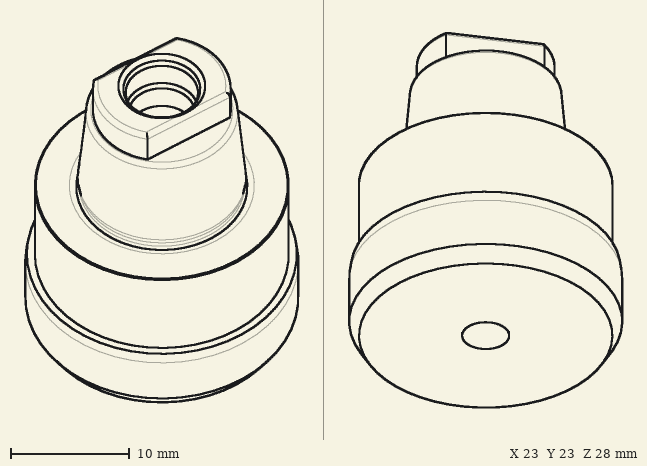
import cadquery as cq
import math

height = 27.95
base_chamfer_top = 1.43
collar_taper_start = 5.9
collar_top = 6.88
body_top = 15.48
neck_top = 15.95
cone_start = 16.45
cone_top = 25.0

collar_radius = 11.52
base_radius = 10.68
collar_rim_radius = 11.38
body_radius = 10.7
body_edge_chamfer = 0.08
neck_radius = 7.0
cone_base_radius = 7.1
cone_top_radius = 6.37
tip_radius = 5.8
edge_fillet = 0.42

recess_radius = 7.8
recess_floor_radius = 7.2
recess_depth = 0.17

flat_half_width = 4.0
flat_angle = 60.0

bore_mouth_radius = 3.65
mouth_chamfer_depth = 0.4
seat_radius = 3.25
seat_chamfer_depth = 0.85
bore_radius = 3.05
bore_depth = 3.0
lower_bore_top_depth = 3.38
lower_bore_radius = 2.8
lower_bore_depth = 5.6
through_radius = 1.98
through_cone_slope = 30.0


def make_body():
    """Revolved collar, cylindrical body and tapered neck."""
    recess_floor = body_top - recess_depth
    foot_fillet = recess_floor_radius - neck_radius
    foot_middle = foot_fillet * (1 - math.sqrt(0.5))
    profile = (
        cq.Workplane("XZ")
        .moveTo(0, 0)
        .lineTo(base_radius, 0)
        .lineTo(collar_radius, base_chamfer_top)
        .lineTo(collar_radius, collar_taper_start)
        .lineTo(collar_rim_radius, collar_top)
        .lineTo(body_radius, collar_top)
        .lineTo(body_radius, body_top - body_edge_chamfer)
        .lineTo(body_radius - body_edge_chamfer, body_top)
        .lineTo(recess_radius, body_top)
        .lineTo(recess_floor_radius, recess_floor)
        .threePointArc(
            (neck_radius + foot_middle, recess_floor + foot_middle),
            (neck_radius, recess_floor + foot_fillet),
        )
        .lineTo(neck_radius, neck_top)
        .lineTo(cone_base_radius, cone_start)
        .lineTo(cone_top_radius, cone_top)
        .lineTo(0, cone_top)
        .close()
    )
    body = profile.revolve(360, (0, 0, 0), (0, 1, 0))
    return body.faces(">Z").edges().fillet(edge_fillet)


def make_tip():
    """Round tip with two parallel flats and a rounded top edge."""
    tip_height = height - cone_top
    tip = cq.Workplane("XY").workplane(offset=cone_top).circle(tip_radius).extrude(tip_height)
    flats = (
        cq.Workplane("XY")
        .workplane(offset=cone_top)
        .rect(2 * tip_radius, 2 * flat_half_width)
        .extrude(tip_height)
    )
    tip = tip.intersect(flats).faces(">Z").edges().fillet(edge_fillet)
    return tip.rotate((0, 0, 0), (0, 0, 1), flat_angle)


def make_bore():
    """Stepped bore with conical transitions, open at both ends."""
    cone_depth = (lower_bore_radius - through_radius) * math.tan(math.radians(through_cone_slope))
    through_top_depth = lower_bore_depth + cone_depth
    profile = (
        cq.Workplane("XZ")
        .moveTo(0, height)
        .lineTo(bore_mouth_radius, height)
        .lineTo(seat_radius, height - mouth_chamfer_depth)
        .lineTo(bore_radius, height - seat_chamfer_depth)
        .lineTo(bore_radius, height - bore_depth)
        .lineTo(lower_bore_radius, height - lower_bore_top_depth)
        .lineTo(lower_bore_radius, height - lower_bore_depth)
        .lineTo(through_radius, height - through_top_depth)
        .lineTo(through_radius, 0)
        .lineTo(0, 0)
        .close()
    )
    return profile.revolve(360, (0, 0, 0), (0, 1, 0))


result = make_body().union(make_tip()).cut(make_bore())